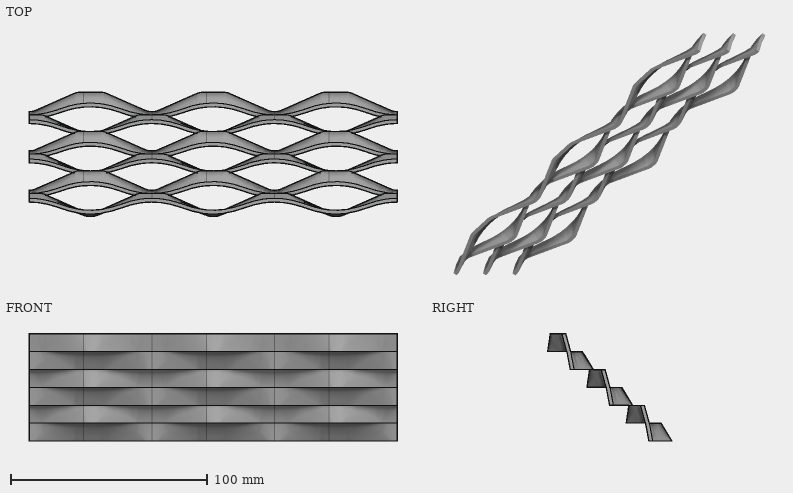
import cadquery as cq

PERIOD = 62.5
PERIOD_COUNT = 3
ROW_COUNT = 3
ROW_PITCH_Y = 20.0
MESH_DEPTH = 63.32
STRAND_HEIGHT = 9.1
STRAND_THICKNESS = 2.0

UPPER_WAVE_HEIGHT = 6.0
UPPER_VALLEY_HALF_LENGTH = 7.0
UPPER_CREST_HALF_LENGTH = 7.0
UPPER_BEND_REACH = 7.0

LOWER_WAVE_HEIGHT = 9.8
LOWER_VALLEY_HALF_LENGTH = 2.1
LOWER_CREST_HALF_LENGTH = 7.0
LOWER_BEND_REACH = 1.5

SEAM_X = 27.75
SAMPLES_PER_PIECE = 30

half_period = PERIOD / 2
top_z = 2 * ROW_COUNT * STRAND_HEIGHT

base_crest_y = MESH_DEPTH - (ROW_COUNT - 1) * ROW_PITCH_Y - STRAND_THICKNESS
base_valley_y = base_crest_y - LOWER_WAVE_HEIGHT
middle_valley_y = LOWER_WAVE_HEIGHT
top_valley_y = base_crest_y - ROW_PITCH_Y


def bent_ramp(distance, reach):
    """Zero before a corner and a unit slope after it, with a parabolic bend of the given reach."""
    if distance <= -reach:
        return 0.0
    if distance >= reach:
        return distance
    return (distance + reach) ** 2 / (4 * reach)


def wave_height(x, height, valley_half, crest_half, bend_reach):
    """Height of a wave that has valleys at whole periods and crests midway between them."""
    from_valley = abs((x + half_period) % PERIOD - half_period)
    crest_start = half_period - crest_half
    rise = bent_ramp(from_valley - valley_half, bend_reach) - bent_ramp(from_valley - crest_start, bend_reach)
    return height * rise / (crest_start - valley_half)


def upper_wave(x):
    return wave_height(
        x, UPPER_WAVE_HEIGHT, UPPER_VALLEY_HALF_LENGTH, UPPER_CREST_HALF_LENGTH, UPPER_BEND_REACH
    )


def lower_wave(x):
    return wave_height(
        x, LOWER_WAVE_HEIGHT, LOWER_VALLEY_HALF_LENGTH, LOWER_CREST_HALF_LENGTH, LOWER_BEND_REACH
    )


def wave_piece(wave, shift_x, valley_y, z, start_x, end_x):
    points = []
    for index in range(SAMPLES_PER_PIECE + 1):
        x = start_x + (end_x - start_x) * index / SAMPLES_PER_PIECE
        points.append(cq.Vector(x, valley_y + wave(x + shift_x), z))
    return cq.Edge.makeSpline(points)


def band_outline(wave, shift_x, valley_y, z):
    """Closed outline at one level: the wave and its copy one thickness behind, joined at the ends."""
    front = []
    for period in range(PERIOD_COUNT):
        start_x = period * PERIOD
        seam_x = start_x + SEAM_X
        front.append(wave_piece(wave, shift_x, valley_y, z, start_x, seam_x))
        front.append(wave_piece(wave, shift_x, valley_y, z, seam_x, start_x + PERIOD))
    thickness = cq.Vector(0, STRAND_THICKNESS, 0)
    back = [edge.translate(thickness) for edge in front]
    start = front[0].startPoint()
    end = front[-1].endPoint()
    start_cap = cq.Edge.makeLine(start + thickness, start)
    end_cap = cq.Edge.makeLine(end, end + thickness)
    return cq.Wire.assembleEdges(front + [end_cap] + back[::-1] + [start_cap])


def strand(shift_x, upper_valley_y, lower_valley_y, upper_z):
    """Leaning strand ruled between its lower and upper waves."""
    lower = band_outline(lower_wave, shift_x, lower_valley_y, upper_z - STRAND_HEIGHT)
    upper = band_outline(upper_wave, shift_x, upper_valley_y, upper_z)
    return cq.Workplane(obj=cq.Solid.makeLoft([lower, upper], True))


def diamond_row(row):
    """Two strands in opposite phase: they meet at the whole periods and part between them."""
    y = row * ROW_PITCH_Y
    z = top_z - 2 * row * STRAND_HEIGHT
    front_strand = strand(half_period, y + top_valley_y, y, z)
    back_strand = strand(0, y + middle_valley_y, y + base_valley_y, z - STRAND_HEIGHT)
    return front_strand.union(back_strand)


result = diamond_row(0)
for row in range(1, ROW_COUNT):
    result = result.union(diamond_row(row))